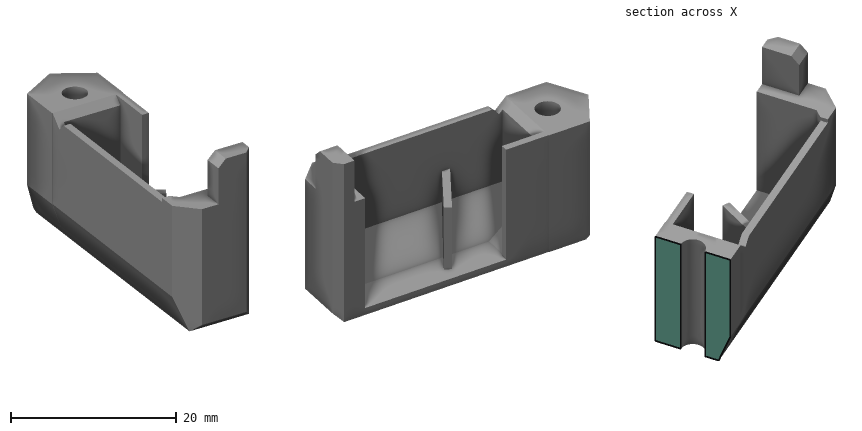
import cadquery as cq
import math

body_height = 17.0
tab_top = 23.0
floor_height = 1.0

hex_radius = 5.8
hex_half_flat = hex_radius * math.sqrt(3) / 2
hex_back_x = 1.5 * hex_radius
pin_hole_diameter = 3.2
hex_bottom_chamfer = 0.45

length = 38.8
half_width = 4.96
wall = 0.95
body_overlap = 1.0
front_corner_chamfer = 2.6
back_corner_chamfer = 1.0
end_bottom_chamfer = 1.05

slope_top_z = 4.45
slope_bottom_y = -3.46

hinge_wall = 1.03
cavity_left_x = hex_back_x + hinge_wall
cavity_right_x = 34.78
inner_front_y = -half_width + wall
cavity_corner_chamfer = 1.0
floor_left_x = 14.44
floor_front_y = 0.5
ramp_corner_y = -1.2
left_ramp_rise = floor_front_y - ramp_corner_y
front_ramp_rise = floor_front_y - inner_front_y
back_wall_end_x = 14.77

rim_height = 16.45
rim_end_x = 33.85
notch_depth = 1.55
notch_bottom_x = hex_back_x + notch_depth
notch_bottom_z = body_height - notch_depth
notch_end_x = notch_bottom_x + rim_height - notch_bottom_z

rib_root_x = 17.77
rib_angle = 60.0
rib_width = 1.0
rib_reach = 8.15
rib_top = 10.0

tab_width = 2.5
tab_front_y = 0.0
tab_chamfer = 1.05


def body_prism(height):
    """Body outline in plan with two chamfered end corners, extruded to a height."""
    plan = [
        (hex_back_x - body_overlap, -half_width),
        (length - front_corner_chamfer, -half_width),
        (length, -half_width + front_corner_chamfer),
        (length, half_width - back_corner_chamfer),
        (length - back_corner_chamfer, half_width),
        (hex_back_x - body_overlap, half_width),
    ]
    return cq.Workplane("XY").polyline(plan).close().extrude(height)


def prism_along_x(points, start_x, end_x):
    """Solid from a Y-Z outline, running from start_x to end_x."""
    outline = cq.Workplane("YZ", origin=(start_x, 0, 0)).polyline(points).close()
    return outline.extrude(end_x - start_x)


def prism_along_y(points, start_y, end_y):
    """Solid from an X-Z outline, running from start_y to end_y."""
    outline = cq.Workplane("XZ", origin=(0, end_y, 0)).polyline(points).close()
    return outline.extrude(end_y - start_y)


def slope_cut(front_y):
    """Wedge below the sloping underside that starts at front_y."""
    wedge = [(front_y, slope_top_z), (slope_bottom_y, 0), (front_y, 0)]
    return prism_along_x(wedge, 0, length)


def make_hex_end():
    corner_x = hex_radius / 2
    plan = [
        (0, 0),
        (corner_x, -hex_half_flat),
        (hex_back_x, -hex_half_flat),
        (hex_back_x, hex_half_flat),
        (corner_x, hex_half_flat),
    ]
    block = cq.Workplane("XY").polyline(plan).close().extrude(body_height)
    slanted_edges = cq.selectors.BoxSelector(
        (0, -hex_half_flat, -wall), (corner_x, hex_half_flat, wall)
    )
    block = block.faces("<Z").edges(slanted_edges).chamfer(hex_bottom_chamfer)
    return block.cut(slope_cut(-hex_half_flat))


def make_body():
    body = body_prism(body_height).faces(">X").edges("<Z").chamfer(end_bottom_chamfer)
    return body.cut(slope_cut(-half_width))


def make_cavity():
    plan = [
        (cavity_left_x, inner_front_y),
        (cavity_right_x - cavity_corner_chamfer, inner_front_y),
        (cavity_right_x, inner_front_y + cavity_corner_chamfer),
        (cavity_right_x, half_width),
        (back_wall_end_x, half_width),
        (back_wall_end_x, half_width - wall),
        (cavity_left_x, half_width - wall),
    ]
    depth = body_height - floor_height
    cavity = cq.Workplane("XY", origin=(0, 0, floor_height)).polyline(plan).close().extrude(depth)

    left_ramp = [
        (floor_left_x, floor_height),
        (cavity_left_x, floor_height),
        (cavity_left_x, floor_height + left_ramp_rise),
    ]
    front_ramp = [
        (floor_front_y, floor_height),
        (inner_front_y, floor_height),
        (inner_front_y, floor_height + front_ramp_rise),
    ]
    cavity = cavity.cut(prism_along_y(left_ramp, inner_front_y, half_width))
    return cavity.cut(prism_along_x(front_ramp, cavity_left_x, cavity_right_x))


def make_hinge_wall_bevel():
    """45 degree bevel on the top of the hinge wall, in line with the first flank of the notch."""
    profile = [
        (hex_back_x, body_height),
        (cavity_left_x, body_height - hinge_wall),
        (cavity_left_x, body_height),
    ]
    return prism_along_y(profile, inner_front_y, half_width - wall)


def make_rim_cut():
    profile = [
        (hex_back_x, body_height),
        (notch_bottom_x, notch_bottom_z),
        (notch_end_x, rim_height),
        (rim_end_x, rim_height),
        (rim_end_x, body_height),
    ]
    return prism_along_y(profile, -half_width, inner_front_y)


def make_rib(cavity):
    """Slanted rib, trimmed to the cavity so it stands on the ramp and the floor."""
    start = -2 * wall
    rib = cq.Workplane("XY").box(rib_reach - start, rib_width, rib_top, centered=(False, True, False))
    rib = rib.translate((start, 0, 0)).rotate((0, 0, 0), (0, 0, 1), rib_angle)
    return rib.translate((rib_root_x, inner_front_y, 0)).intersect(cavity)


def make_tab():
    profile = [
        (tab_front_y, body_height),
        (tab_front_y, tab_top - tab_chamfer),
        (tab_front_y + tab_chamfer, tab_top),
        (half_width, tab_top),
        (half_width, body_height),
    ]
    return prism_along_x(profile, length - tab_width, length).intersect(body_prism(tab_top))


def make_pin_hole():
    return cq.Workplane("XY").center(hex_radius, 0).circle(pin_hole_diameter / 2).extrude(body_height)


cavity = make_cavity()
result = make_body().cut(cavity).cut(make_hinge_wall_bevel()).cut(make_rim_cut())
result = result.union(make_hex_end()).union(make_tab()).union(make_rib(cavity))
result = result.cut(make_pin_hole()).clean()